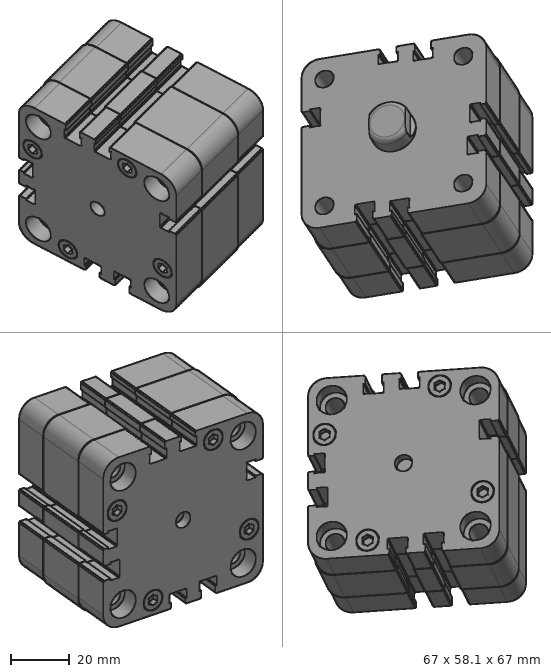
import cadquery as cq
import math

tube_width = 67.0
cap_inset = 0.25
corner_radius = 6.5
cap_length = 14.75
tube_length = 21.05
cap_width = tube_width - 2 * cap_inset
body_length = 2 * cap_length + tube_length

slot_cap_growth = 0.2
slot_lip_chamfer = 0.5
slot_floor_chamfer = 0.4
neck_half = 2.7
pocket_half = 3.35
deep_slot_x = -10.45
deep_neck_depth = 3.3
deep_slot_depth = 6.9
shallow_slot_x = 2.1
shallow_neck_depth = 2.4
shallow_slot_depth = 5.95
deep_slot_turns = (0, 90, 180, 270)
shallow_slot_turns = (0, 180, 270)

mount_offset = 25.0
mount_diameter = 6.6
mount_recess_diameter = 10.5
mount_recess_depth = 6.5

screw_x = 12.5
screw_z = 27.5
screw_places = [
    (screw_x, screw_z),
    (screw_z, -screw_x),
    (-screw_x, -screw_z),
    (-screw_z, screw_x),
]
screw_bore_diameter = 8.0
screw_head_diameter = 7.5
screw_gap_depth = 5.0
hex_flats = 3.7
hex_turn = 30
hex_depth = 2.5

centre_diameter = 6.0
centre_depth = 4.0

rod_diameter = 16.0
rod_length = 7.5
rod_end_radius = 1.8
flats_width = 13.0
flats_length = 5.55


def front_plane(y=0.0):
    """XZ sketch plane at the given Y; extruding goes toward +Y and sketch x runs along -X."""
    return cq.Workplane(cq.Plane(origin=(0, y, 0), xDir=(-1, 0, 0), normal=(0, 1, 0)))


def cylinder(x, z, diameter, depth, y=0.0):
    return front_plane(y).center(-x, z).circle(diameter / 2).extrude(depth)


def block(width, y, length):
    return front_plane(y).rect(width, width).extrude(length).edges("|Y").fillet(corner_radius)


def around_y(shape, angle):
    return shape.rotate((0, 0, 0), (0, 1, 0), angle)


def slot(x, neck_depth, depth, mouth, growth, y, length):
    """T-slot cutter reaching up to the height of the mouth, with its walls moved out by growth."""
    top = tube_width / 2
    neck = neck_half + growth
    pocket = pocket_half + growth
    neck_end = top - neck_depth
    floor = top - depth - growth
    return (
        front_plane(y).moveTo(0, mouth)
        .lineTo(neck + slot_lip_chamfer, mouth)
        .lineTo(neck, mouth - slot_lip_chamfer)
        .lineTo(neck, neck_end)
        .lineTo(pocket, neck_end)
        .lineTo(pocket, floor + slot_floor_chamfer)
        .lineTo(pocket - slot_floor_chamfer, floor)
        .lineTo(0, floor)
        .mirrorY().extrude(length).translate((x, 0, 0))
    )


def section(width, slot_growth, y, length):
    """Block with slots along its whole length."""
    body = block(width, y, length)
    mouth = width / 2
    deep = slot(deep_slot_x, deep_neck_depth, deep_slot_depth, mouth, slot_growth, y, length)
    shallow = slot(shallow_slot_x, shallow_neck_depth, shallow_slot_depth, mouth, slot_growth, y, length)
    for angle in deep_slot_turns:
        body = body.cut(around_y(deep, angle))
    for angle in shallow_slot_turns:
        body = body.cut(around_y(shallow, angle))
    return body


def screw_recess(x, z):
    """Ring gap around a screw head together with its hexagon socket."""
    bore = cylinder(x, z, screw_bore_diameter, screw_gap_depth)
    head = cylinder(x, z, screw_head_diameter, screw_gap_depth)
    hexagon_corners = hex_flats / math.cos(math.pi / 6)
    socket = (
        front_plane().center(-x, z)
        .transformed(rotate=(0, 0, hex_turn)).polygon(6, hexagon_corners).extrude(hex_depth)
    )
    return bore.cut(head).union(socket)


def rod():
    shaft = cylinder(0, 0, rod_diameter, rod_length, body_length)
    shaft = shaft.faces(">Y").edges().fillet(rod_end_radius)
    tip = body_length + rod_length
    flat = flats_width / 2
    outside = rod_diameter
    flat_end = tip - flats_length
    for side in (-1, 1):
        cutter = (
            cq.Workplane("XY")
            .polyline([
                (side * flat, tip),
                (side * flat, flat_end),
                (side * outside, flat_end - (outside - flat)),
                (side * outside, tip),
            ])
            .close().extrude(rod_diameter / 2, both=True)
        )
        shaft = shaft.cut(cutter)
    return shaft


result = section(cap_width, slot_cap_growth, 0, cap_length)
result = result.union(section(tube_width, 0, cap_length, tube_length))
result = result.union(section(cap_width, slot_cap_growth, cap_length + tube_length, cap_length))
result = result.union(rod())

for x in (-mount_offset, mount_offset):
    for z in (-mount_offset, mount_offset):
        result = result.cut(cylinder(x, z, mount_diameter, body_length))
        result = result.cut(cylinder(x, z, mount_recess_diameter, mount_recess_depth))

for x, z in screw_places:
    result = result.cut(screw_recess(x, z))

result = result.cut(cylinder(0, 0, centre_diameter, centre_depth))